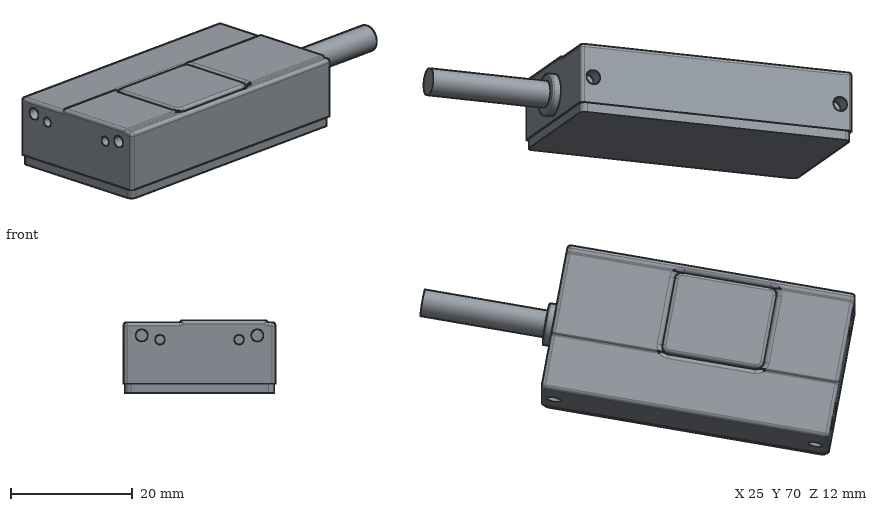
import cadquery as cq

HOUSING_WIDTH = 25.0
HOUSING_LENGTH = 48.0
TOTAL_LENGTH = 70.0
TOTAL_HEIGHT = 12.0
STEP_HEIGHT = 0.3
SHOULDER_Z = TOTAL_HEIGHT - STEP_HEIGHT
EDGE_RADIUS = 0.6
FRONT_Y = -HOUSING_LENGTH / 2
BACK_Y = HOUSING_LENGTH / 2
LEFT_X = -HOUSING_WIDTH / 2
RIGHT_X = HOUSING_WIDTH / 2

STRIP_CENTER_X = 4.0
STRIP_WIDTH = 14.15
STRIP_BLEND_WIDTH = 0.45
PAD_WIDTH = 14.0
PAD_LENGTH = 16.9
PAD_CENTER_Y = -2.8
PAD_CORNER_RADIUS = 1.2
PAD_EDGE_RADIUS = 0.55
WINDOW_EDGE_RADIUS = 0.9

BASE_HEIGHT = 1.6
BASE_INSET = 0.2
BASE_CORNER_RADIUS = 1.0

CABLE_Z = TOTAL_HEIGHT / 2
CABLE_LENGTH = TOTAL_LENGTH - HOUSING_LENGTH
CABLE_DIAMETER = 4.5
COLLAR_DIAMETER = 7.0
COLLAR_LENGTH = 1.4
COLLAR_EDGE_RADIUS = 0.25

SIDE_HOLE_DIAMETER = 2.4
SIDE_HOLE_DEPTH = 3.0
SIDE_HOLE_Z = TOTAL_HEIGHT / 2
SIDE_HOLE_INSET = 2.2
LARGE_HOLE_DIAMETER = 2.0
LARGE_HOLE_X = 9.5
LARGE_HOLE_Z = 9.5
SMALL_HOLE_DIAMETER = 1.6
SMALL_HOLE_X = 6.5
SMALL_HOLE_Z = 8.8
FRONT_HOLE_DEPTH = 2.0


def make_housing():
    """Block whose top steps up to the strip through two S-shaped round blends."""
    mid_z = SHOULDER_Z + STEP_HEIGHT / 2
    strip_left = STRIP_CENTER_X - STRIP_WIDTH / 2
    strip_right = STRIP_CENTER_X + STRIP_WIDTH / 2
    half_blend = STRIP_BLEND_WIDTH / 2
    blend_radius = (STRIP_BLEND_WIDTH**2 + STEP_HEIGHT**2) / (4 * STEP_HEIGHT)

    profile = (
        cq.Workplane("XZ", origin=(0, BACK_Y, 0))
        .moveTo(LEFT_X, BASE_HEIGHT)
        .lineTo(LEFT_X, SHOULDER_Z)
        .lineTo(strip_left - half_blend, SHOULDER_Z)
        .radiusArc((strip_left, mid_z), -blend_radius)
        .radiusArc((strip_left + half_blend, TOTAL_HEIGHT), blend_radius)
        .lineTo(strip_right - half_blend, TOTAL_HEIGHT)
        .radiusArc((strip_right, mid_z), blend_radius)
        .radiusArc((strip_right + half_blend, SHOULDER_Z), -blend_radius)
        .lineTo(RIGHT_X, SHOULDER_Z)
        .lineTo(RIGHT_X, BASE_HEIGHT)
        .close()
    )
    block = profile.extrude(HOUSING_LENGTH).edges("|Z").fillet(EDGE_RADIUS)
    return block.faces("<X or >X or <Y or >Y").edges(">Z").fillet(EDGE_RADIUS)


def make_base():
    """Plate under the housing, set in on all sides."""
    return (
        cq.Workplane("XY")
        .rect(HOUSING_WIDTH - 2 * BASE_INSET, HOUSING_LENGTH - 2 * BASE_INSET)
        .extrude(BASE_HEIGHT)
        .edges("|Z")
        .fillet(BASE_CORNER_RADIUS)
    )


def make_cable():
    """Collar seated on the back face, with the round cable passing out of it."""
    back_face = cq.Workplane("XZ", origin=(0, BACK_Y, CABLE_Z))
    collar = (
        back_face.circle(COLLAR_DIAMETER / 2)
        .extrude(-COLLAR_LENGTH)
        .faces(">Y")
        .edges()
        .fillet(COLLAR_EDGE_RADIUS)
    )
    cable = back_face.circle(CABLE_DIAMETER / 2).extrude(-CABLE_LENGTH)
    return collar.union(cable)


def pad_prism(margin, bottom_z, top_z):
    """Prism of the pad outline, grown outward by a margin."""
    return (
        cq.Workplane("XY", origin=(STRIP_CENTER_X, PAD_CENTER_Y, bottom_z))
        .rect(PAD_WIDTH + 2 * margin, PAD_LENGTH + 2 * margin)
        .extrude(top_z - bottom_z)
        .edges("|Z")
        .fillet(PAD_CORNER_RADIUS + margin)
    )


def make_flared_window(surface_z):
    """Void of a window whose rim, at the given height, is rounded outward."""
    floor_z = surface_z - WINDOW_EDGE_RADIUS
    frame_width = 2 * WINDOW_EDGE_RADIUS
    frame_bottom_z = surface_z - 2 * WINDOW_EDGE_RADIUS
    frame = (
        pad_prism(frame_width, frame_bottom_z, surface_z)
        .cut(pad_prism(0, frame_bottom_z, surface_z))
    )
    rim = frame.faces(">Z").wires(cq.selectors.LengthNthSelector(0)).edges()
    frame = rim.fillet(WINDOW_EDGE_RADIUS)
    return pad_prism(WINDOW_EDGE_RADIUS, floor_z, TOTAL_HEIGHT).cut(frame)


def make_pad_groove():
    """Cusp groove between the rounded window rim and the rounded pad edge.

    The rim follows the strip top across the pad width and the shoulder beside it.
    """
    strip_span = (
        cq.Workplane("XY", origin=(STRIP_CENTER_X, 0, 0))
        .box(PAD_WIDTH, HOUSING_LENGTH, 2 * TOTAL_HEIGHT)
    )
    shoulder_rim = make_flared_window(SHOULDER_Z).cut(strip_span)
    window = make_flared_window(TOTAL_HEIGHT).union(shoulder_rim)
    pad_bottom_z = SHOULDER_Z - 2 * WINDOW_EDGE_RADIUS
    pad = pad_prism(0, pad_bottom_z, TOTAL_HEIGHT).faces(">Z").edges().fillet(PAD_EDGE_RADIUS)
    return window.cut(pad)


def make_side_holes():
    """Two blind holes in the left face, one near each end."""
    spacing = HOUSING_LENGTH - 2 * SIDE_HOLE_INSET
    return (
        cq.Workplane("YZ", origin=(LEFT_X, 0, SIDE_HOLE_Z))
        .rarray(spacing, 1, 2, 1)
        .circle(SIDE_HOLE_DIAMETER / 2)
        .extrude(SIDE_HOLE_DEPTH)
    )


def make_front_hole_pair(diameter, hole_x, hole_z):
    """Two blind holes in the front face, mirrored about the centre plane."""
    return (
        cq.Workplane("XZ", origin=(0, FRONT_Y, hole_z))
        .rarray(2 * hole_x, 1, 2, 1)
        .circle(diameter / 2)
        .extrude(-FRONT_HOLE_DEPTH)
    )


result = (
    make_housing()
    .union(make_base())
    .union(make_cable())
    .cut(make_pad_groove())
    .cut(make_side_holes())
    .cut(make_front_hole_pair(LARGE_HOLE_DIAMETER, LARGE_HOLE_X, LARGE_HOLE_Z))
    .cut(make_front_hole_pair(SMALL_HOLE_DIAMETER, SMALL_HOLE_X, SMALL_HOLE_Z))
)